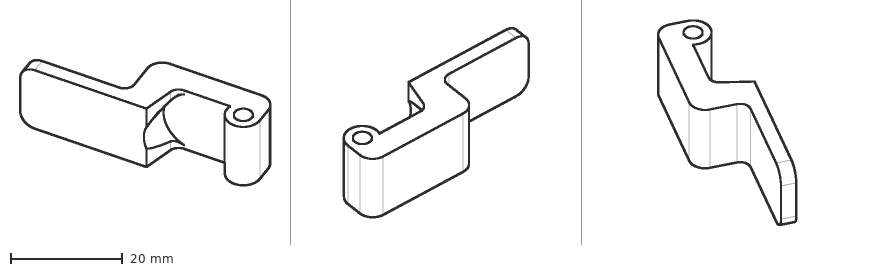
import cadquery as cq
import math

length = 45.05
depth = 12.9
height = 13.8

plate_thickness = 2.9
arm_thickness = 5.3
web_left = 20.55
plate_right = 25.6
web_slope = 15.0
outer_radius = 2.97
inner_radius = 2.0

knuckle_radius = 3.35
hole_diameter = 3.42
knuckle_x = length - knuckle_radius
knuckle_y = 6.58

clearance_radius = 6.4
clearance_left = 25.05
clearance_x = clearance_left + clearance_radius

arm_underside = depth - arm_thickness
web_top_right = plate_right + arm_underside * math.tan(math.radians(web_slope))


def vertical_edge(x, y):
    """Select the vertical profile edge standing at (x, y)."""
    return cq.selectors.NearestToPointSelector((x, y, height / 2))


def make_crank():
    """Plate, web and arm with rounded corners."""
    crank = (
        cq.Workplane("XY")
        .moveTo(0, 0)
        .lineTo(plate_right, 0)
        .lineTo(web_top_right, arm_underside)
        .lineTo(knuckle_x, arm_underside)
        .lineTo(knuckle_x, knuckle_y)
        .lineTo(length, knuckle_y)
        .lineTo(length, depth)
        .lineTo(web_left, depth)
        .lineTo(web_left, plate_thickness)
        .lineTo(0, plate_thickness)
        .close()
        .extrude(height)
    )
    rounded_corners = [
        (web_left, depth, outer_radius),
        (length, depth, outer_radius),
        (web_left, plate_thickness, inner_radius),
        (web_top_right, arm_underside, inner_radius),
    ]
    for x, y, radius in rounded_corners:
        crank = crank.edges("|Z").edges(vertical_edge(x, y)).fillet(radius)
    return crank.faces("<X").edges("|Y").fillet(outer_radius)


def knuckle_cylinder(radius):
    """Full-height cylinder on the hinge axis."""
    return cq.Workplane("XY").center(knuckle_x, knuckle_y).circle(radius).extrude(height)


def make_clearance():
    """Cylinder along Y, ending flush with the underside of the arm."""
    return (
        cq.Workplane("XZ", origin=(clearance_x, 0, height / 2))
        .circle(clearance_radius)
        .extrude(-arm_underside)
    )


result = (
    make_crank()
    .cut(make_clearance())
    .union(knuckle_cylinder(knuckle_radius))
    .cut(knuckle_cylinder(hole_diameter / 2))
)